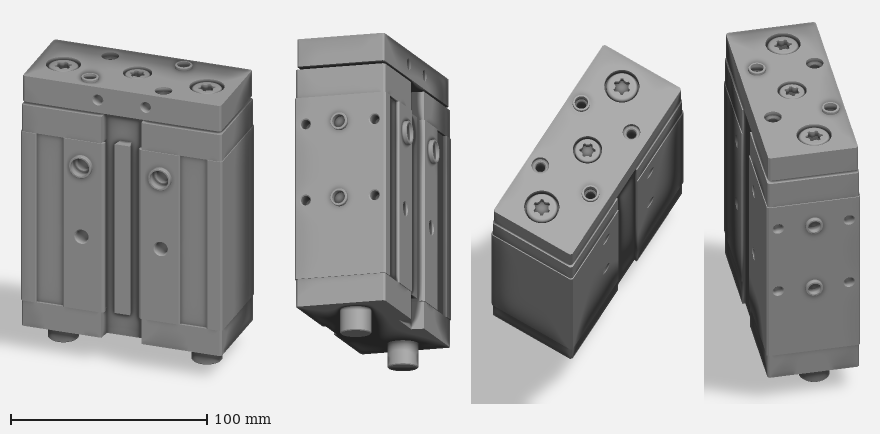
import cadquery as cq
import math


ROD_STICK_OUT = 12.5
LOWER_CAP_HEIGHT = 14.4
HOUSING_HEIGHT = 95.0
UPPER_CAP_HEIGHT = 15.0
PLATE_GAP = 1.7
PLATE_HEIGHT = 14.4
LOWER_CAP_Z = ROD_STICK_OUT
HOUSING_Z = LOWER_CAP_Z + LOWER_CAP_HEIGHT
UPPER_CAP_Z = HOUSING_Z + HOUSING_HEIGHT
PLATE_Z = UPPER_CAP_Z + UPPER_CAP_HEIGHT + PLATE_GAP
PLATE_TOP = PLATE_Z + PLATE_HEIGHT

HOUSING_WIDTH = 109.6
HOUSING_DEPTH = 48.8
CAP_STEP = 0.5
PLATE_STEP = 1.0
CORNER_CHAMFER = 1.0
HOUSING_LEFT = -HOUSING_WIDTH / 2
HOUSING_FRONT = -HOUSING_DEPTH / 2
PLATE_FRONT = HOUSING_FRONT + PLATE_STEP

SLOT_HALF_WIDTH = 9.5
SLOT_CHAMFER = 1.1
SLOT_LIP_DEPTH = 2.8
SLOT_INNER_HALF_WIDTH = 10.7
SLOT_DEPTH = 7.1
RIB_RECESS = 2.0
RIB_FRONT_HALF_WIDTH = 4.2
RIB_ROOT_HALF_WIDTH = 3.1
GROOVE_INNER = 31.1
GROOVE_OUTER = 46.9
GROOVE_DEPTH = 1.9
GROOVE_CHAMFER = 0.6
CAP_SLOT_MOUTH_HALF_WIDTH = 11.0
CAP_SLOT_FLOOR_HALF_WIDTH = 10.2
REAR_SLOT_WIDTH = 18.5
REAR_SLOT_DEPTH = 2.0

GUIDE_ROD_DIAMETER = 16.0
GUIDE_ROD_SPACING = 78.0
GUIDE_ROD_Y = -3.4
ROD_END_CHAMFER = 0.5
PISTON_ROD_DIAMETER = 12.0
GUIDE_ROD_CENTRES = [(side * GUIDE_ROD_SPACING / 2, GUIDE_ROD_Y) for side in (-1, 1)]

SCREW_SINK = 0.6
COUNTERBORE_DEPTH = 4.6
SOCKET_DEPTH = 3.4
SOCKET_LOBES = 6
LOBE_HALF_ANGLE = math.radians(9)
GUIDE_COUNTERBORE = 18.0
GUIDE_HEAD = 16.0
GUIDE_HEAD_ROUND = 1.5
GUIDE_SOCKET_TIP = 9.0
GUIDE_SOCKET_VALLEY = 6.7
PISTON_COUNTERBORE = 15.0
PISTON_HEAD = 13.0
PISTON_HEAD_ROUND = 1.0
PISTON_SOCKET_TIP = 8.0
PISTON_SOCKET_VALLEY = 6.2

SMALL_SLEEVE_DIAMETER = 9.0
SMALL_SLEEVE_BORE = 6.8
PLATE_SLEEVE_STICK_OUT = 1.7
SIDE_SLEEVE_STICK_OUT = 2.2
SMALL_SLEEVE_SEAT = 2.3
LARGE_SLEEVE_DIAMETER = 12.0
LARGE_SLEEVE_BORE = 10.0
LARGE_SLEEVE_STICK_OUT = 2.5
LARGE_SLEEVE_SEAT = 2.8
SLEEVE_CHAMFER = 0.23

THREAD_DIAMETER = 5.0
THREAD_MOUTH = 6.0
BLIND_DEPTH = 9.3
DRILL_TIP_ANGLE = 118
MOUNTING_DIAMETER = 6.8
MOUNTING_MOUTH = 8.0

PITCH = 40.0
UPPER_HOLE_Z = 107.9
LOWER_HOLE_Z = UPPER_HOLE_Z - PITCH
MOUNTING_SPACING = 43.0
SIDE_THREAD_SPACING = 37.0
PLATE_HOLE_SPACING_X = PITCH
PLATE_HOLE_SPACING_Y = 30.0
PLATE_HOLES_Y = -1.0
PLATE_THREAD_SPACING = 26.0
PLATE_THREAD_Z = PLATE_Z + PLATE_HEIGHT / 2

INTO_FRONT = (0, 1, 0)
INTO_LEFT = (1, 0, 0)
INTO_TOP = (0, 0, -1)


def block(inset, height, bottom):
    return (
        cq.Workplane("XY", origin=(0, 0, bottom))
        .rect(HOUSING_WIDTH - 2 * inset, HOUSING_DEPTH - 2 * inset)
        .extrude(height)
        .edges("|Z")
        .chamfer(CORNER_CHAMFER)
    )


def cylinder(diameter, length, start, direction):
    solid = cq.Solid.makeCylinder(diameter / 2, length, cq.Vector(*start), cq.Vector(*direction))
    return cq.Workplane(obj=solid)


def cone(start_diameter, end_diameter, length, start, direction):
    return cq.Workplane(
        obj=cq.Solid.makeCone(
            start_diameter / 2, end_diameter / 2, length, cq.Vector(*start), cq.Vector(*direction)
        )
    )


def moved(start, direction, distance):
    return tuple(s + d * distance for s, d in zip(start, direction))


def countersunk_hole(diameter, mouth, length, start, direction):
    bevel = (mouth - diameter) / 2
    return cylinder(diameter, length, start, direction).union(
        cone(mouth, diameter, bevel, start, direction)
    )


def blind_thread(start, direction):
    hole = countersunk_hole(THREAD_DIAMETER, THREAD_MOUTH, BLIND_DEPTH, start, direction)
    tip_length = THREAD_DIAMETER / 2 / math.tan(math.radians(DRILL_TIP_ANGLE / 2))
    tip = cone(THREAD_DIAMETER, 0, tip_length, moved(start, direction, BLIND_DEPTH), direction)
    return hole.union(tip)


def sleeve(diameter, bore, stick_out, seat, start, direction):
    outer_end = moved(start, direction, -stick_out)
    length = stick_out + seat
    return (
        cylinder(diameter, length, outer_end, direction)
        .edges()
        .chamfer(SLEEVE_CHAMFER)
        .cut(cylinder(bore, length, outer_end, direction))
    )


mounting_xs = [side * MOUNTING_SPACING / 2 for side in (-1, 1)]
side_sleeve_seats = [(HOUSING_LEFT, 0, z) for z in (UPPER_HOLE_Z, LOWER_HOLE_Z)]
front_sleeve_seats = [(x, HOUSING_FRONT, UPPER_HOLE_Z) for x in mounting_xs]


def plate_hole(x_side, y_side):
    return (
        x_side * PLATE_HOLE_SPACING_X / 2,
        PLATE_HOLES_Y + y_side * PLATE_HOLE_SPACING_Y / 2,
        PLATE_TOP,
    )


plate_holes = [plate_hole(x_side, y_side) for x_side in (-1, 1) for y_side in (-1, 1)]
plate_sleeve_seats = [plate_hole(side, side) for side in (-1, 1)]


def guide_rod_bores(body):
    for x, y in GUIDE_ROD_CENTRES:
        body = body.cut(cylinder(GUIDE_ROD_DIAMETER, PLATE_TOP, (x, y, 0), (0, 0, 1)))
    return body


def prism_from_half(half_outline, bottom, height):
    """Extrudes upward the closed outline made of a right half, front to back, and its mirror image."""
    points = [(x, HOUSING_FRONT + depth) for x, depth in half_outline]
    mirrored = [(-x, y) for x, y in reversed(points)]
    outline = cq.Workplane("XY", origin=(0, 0, bottom)).polyline(points + mirrored)
    return outline.close().extrude(height)


def front_slot():
    """T-shaped slot with a rib, wider at its front than at its root, standing on the floor."""
    slot = prism_from_half(
        [
            (SLOT_HALF_WIDTH + SLOT_CHAMFER, 0),
            (SLOT_HALF_WIDTH, SLOT_CHAMFER),
            (SLOT_HALF_WIDTH, SLOT_LIP_DEPTH),
            (SLOT_INNER_HALF_WIDTH, SLOT_LIP_DEPTH),
            (SLOT_INNER_HALF_WIDTH, SLOT_DEPTH),
        ],
        HOUSING_Z,
        HOUSING_HEIGHT,
    )
    rib = prism_from_half(
        [(RIB_FRONT_HALF_WIDTH, RIB_RECESS), (RIB_ROOT_HALF_WIDTH, SLOT_DEPTH)],
        HOUSING_Z,
        HOUSING_HEIGHT,
    )
    return slot.cut(rib)


def front_grooves():
    middle = (GROOVE_INNER + GROOVE_OUTER) / 2
    mouth = (GROOVE_OUTER - GROOVE_INNER) / 2
    floor = mouth - GROOVE_CHAMFER
    groove = prism_from_half(
        [(mouth, 0), (floor, GROOVE_CHAMFER), (floor, GROOVE_DEPTH)], HOUSING_Z, HOUSING_HEIGHT
    )
    return groove.translate((-middle, 0, 0)).union(groove.translate((middle, 0, 0)))


def rear_slot(bottom, height):
    return (
        cq.Workplane("XY", origin=(0, HOUSING_DEPTH / 2, bottom))
        .rect(REAR_SLOT_WIDTH, 2 * REAR_SLOT_DEPTH)
        .extrude(height)
    )


def make_housing():
    body = block(0, HOUSING_HEIGHT, HOUSING_Z)
    body = body.cut(front_slot()).cut(front_grooves()).cut(rear_slot(HOUSING_Z, HOUSING_HEIGHT))
    body = guide_rod_bores(body)
    for x in mounting_xs:
        lower = (x, HOUSING_FRONT, LOWER_HOLE_Z)
        body = body.cut(
            countersunk_hole(MOUNTING_DIAMETER, MOUNTING_MOUTH, HOUSING_DEPTH, lower, INTO_FRONT)
        )
    for seat in front_sleeve_seats:
        floor = moved(seat, INTO_FRONT, LARGE_SLEEVE_SEAT)
        body = body.cut(cylinder(LARGE_SLEEVE_DIAMETER, LARGE_SLEEVE_SEAT, seat, INTO_FRONT))
        body = body.cut(
            countersunk_hole(MOUNTING_DIAMETER, MOUNTING_MOUTH, HOUSING_DEPTH, floor, INTO_FRONT)
        )
    for seat in side_sleeve_seats:
        body = body.cut(cylinder(SMALL_SLEEVE_DIAMETER, SMALL_SLEEVE_SEAT, seat, INTO_LEFT))
        for side in (-1, 1):
            start = moved(seat, (0, side, 0), SIDE_THREAD_SPACING / 2)
            body = body.cut(blind_thread(start, INTO_LEFT))
    return body


def make_cap(bottom, height):
    slot = prism_from_half(
        [(CAP_SLOT_MOUTH_HALF_WIDTH, 0), (CAP_SLOT_FLOOR_HALF_WIDTH, SLOT_DEPTH)], bottom, height
    )
    cap = block(CAP_STEP, height, bottom).cut(slot).cut(rear_slot(bottom, height))
    return guide_rod_bores(cap)


def make_upper_cap():
    cap = make_cap(UPPER_CAP_Z, UPPER_CAP_HEIGHT)
    return cap.cut(cylinder(PISTON_ROD_DIAMETER, UPPER_CAP_HEIGHT, (0, 0, UPPER_CAP_Z), (0, 0, 1)))


def polar(radius, angle):
    return (radius * math.cos(angle), radius * math.sin(angle))


def star_socket(tip_diameter, valley_diameter, first_tip_angle, x, y, top):
    tip = tip_diameter / 2
    valley = valley_diameter / 2
    step = 2 * math.pi / SOCKET_LOBES
    outline = cq.Workplane("XY", origin=(x, y, top - SOCKET_DEPTH)).moveTo(
        *polar(tip, first_tip_angle - LOBE_HALF_ANGLE)
    )
    for lobe in range(SOCKET_LOBES):
        angle = first_tip_angle + lobe * step
        outline = outline.threePointArc(polar(tip, angle), polar(tip, angle + LOBE_HALF_ANGLE))
        outline = outline.threePointArc(
            polar(valley, angle + step / 2), polar(tip, angle + step - LOBE_HALF_ANGLE)
        )
    return outline.close().extrude(SOCKET_DEPTH)


def add_sunk_screw(body, x, y, counterbore, head, head_round, socket):
    """Sinks a counterbore into the plate and leaves a rounded screw head standing in it."""
    floor = (x, y, PLATE_TOP - COUNTERBORE_DEPTH)
    head_height = COUNTERBORE_DEPTH - SCREW_SINK
    screw_head = cylinder(head, head_height, floor, (0, 0, 1)).faces(">Z").edges().fillet(head_round)
    return body.cut(cylinder(counterbore, COUNTERBORE_DEPTH, floor, (0, 0, 1))).union(screw_head).cut(socket)


def make_slide():
    """Yoke plate in one piece with the guide rods, the piston rod and their screw heads."""
    body = block(PLATE_STEP, PLATE_HEIGHT, PLATE_Z)
    for start in plate_holes:
        floor = moved(start, INTO_TOP, SMALL_SLEEVE_SEAT)
        body = body.cut(cylinder(SMALL_SLEEVE_DIAMETER, SMALL_SLEEVE_SEAT, start, INTO_TOP))
        body = body.cut(countersunk_hole(THREAD_DIAMETER, THREAD_MOUTH, PLATE_HEIGHT, floor, INTO_TOP))
    for side in (-1, 1):
        start = (side * PLATE_THREAD_SPACING / 2, PLATE_FRONT, PLATE_THREAD_Z)
        body = body.cut(blind_thread(start, INTO_FRONT))

    screw_top = PLATE_TOP - SCREW_SINK
    for x, y in GUIDE_ROD_CENTRES:
        rod = cylinder(GUIDE_ROD_DIAMETER, PLATE_Z, (x, y, 0), (0, 0, 1))
        body = body.union(rod.faces("<Z").edges().chamfer(ROD_END_CHAMFER))
        socket = star_socket(GUIDE_SOCKET_TIP, GUIDE_SOCKET_VALLEY, math.pi / 2, x, y, screw_top)
        body = add_sunk_screw(body, x, y, GUIDE_COUNTERBORE, GUIDE_HEAD, GUIDE_HEAD_ROUND, socket)

    body = body.union(cylinder(PISTON_ROD_DIAMETER, PLATE_Z - UPPER_CAP_Z, (0, 0, UPPER_CAP_Z), (0, 0, 1)))
    socket = star_socket(PISTON_SOCKET_TIP, PISTON_SOCKET_VALLEY, 0, 0, 0, screw_top)
    return add_sunk_screw(body, 0, 0, PISTON_COUNTERBORE, PISTON_HEAD, PISTON_HEAD_ROUND, socket)


def small_sleeve(stick_out, seat, direction):
    return sleeve(SMALL_SLEEVE_DIAMETER, SMALL_SLEEVE_BORE, stick_out, SMALL_SLEEVE_SEAT, seat, direction)


def large_sleeve(seat):
    return sleeve(
        LARGE_SLEEVE_DIAMETER, LARGE_SLEEVE_BORE, LARGE_SLEEVE_STICK_OUT, LARGE_SLEEVE_SEAT, seat, INTO_FRONT
    )


housing = make_housing()
lower_cap = make_cap(LOWER_CAP_Z, LOWER_CAP_HEIGHT)
upper_cap = make_upper_cap()
slide = make_slide()
plate_sleeves = [small_sleeve(PLATE_SLEEVE_STICK_OUT, seat, INTO_TOP) for seat in plate_sleeve_seats]
side_sleeves = [small_sleeve(SIDE_SLEEVE_STICK_OUT, seat, INTO_LEFT) for seat in side_sleeve_seats]
front_sleeves = [large_sleeve(seat) for seat in front_sleeve_seats]

bodies = [housing, lower_cap, upper_cap, slide] + plate_sleeves + side_sleeves + front_sleeves
result = cq.Compound.makeCompound([body.val() for body in bodies])